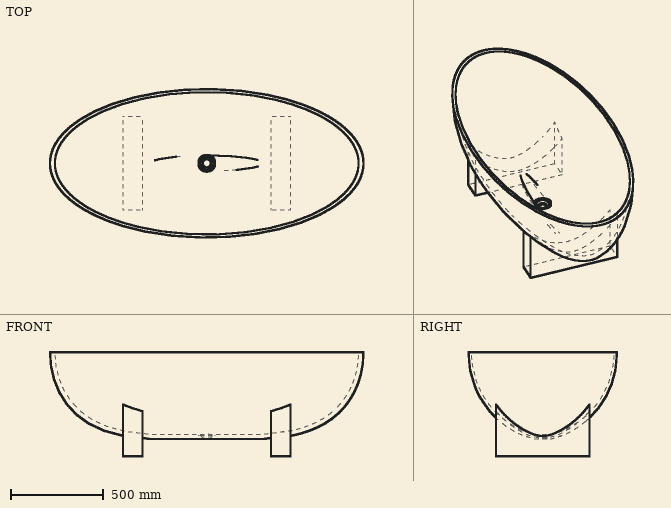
import cadquery as cq
import math

length = 1689.0
width = 800.0
height = 560.0
tub_depth = 468.0

apex_depth = 473.0
length_depth_exponent = 2.0
length_size_exponent = 3.8
width_depth_exponent = 2.1
width_size_exponent = 1.7
level_count = 10

end_wall = 27.0
side_wall = 17.0
floor_thickness = 25.0

drain_diameter = 44.0
countersink_diameter = 71.0
countersink_depth = 10.0
recess_diameter = 91.0
recess_depth = 5.0

foot_thickness = 106.0
foot_width = 503.0
foot_outer_x = 451.0
foot_top = 338.0


def profile_scale(depth_ratio, depth_exponent, size_exponent):
    """Half-size of a superellipse profile relative to its size at the rim."""
    return (1 - depth_ratio**depth_exponent) ** (1 / size_exponent)


def bowl(half_length, half_width, flat_depth, full_depth):
    """Solid lofted through elliptical levels from the rim to the flat bottom."""
    last_angle = math.asin(flat_depth / full_depth)
    levels = []
    for index in range(level_count):
        depth_ratio = math.sin(last_angle * index / (level_count - 1))
        length_scale = profile_scale(depth_ratio, length_depth_exponent, length_size_exponent)
        width_scale = profile_scale(depth_ratio, width_depth_exponent, width_size_exponent)
        level = cq.Wire.makeEllipse(
            half_length * length_scale,
            half_width * width_scale,
            cq.Vector(0, 0, height - full_depth * depth_ratio),
            cq.Vector(0, 0, 1),
            cq.Vector(1, 0, 0),
        )
        levels.append(level)
    return cq.Workplane(obj=cq.Solid.makeLoft(levels))


outer = bowl(length / 2, width / 2, tub_depth, apex_depth)
cavity = bowl(
    length / 2 - end_wall,
    width / 2 - side_wall,
    tub_depth - floor_thickness,
    apex_depth - floor_thickness,
)

foot_center_x = foot_outer_x - foot_thickness / 2
feet = (
    cq.Workplane("XY")
    .pushPoints([(-foot_center_x, 0), (foot_center_x, 0)])
    .rect(foot_thickness, foot_width)
    .extrude(foot_top)
)

floor_z = height - tub_depth + floor_thickness
recess_z = floor_z - recess_depth
drain = cq.Workplane("XY").circle(drain_diameter / 2).extrude(height)
countersink = cq.Workplane(
    obj=cq.Solid.makeCone(
        drain_diameter / 2,
        countersink_diameter / 2,
        countersink_depth,
        cq.Vector(0, 0, recess_z - countersink_depth),
    )
)
recess = (
    cq.Workplane("XY")
    .workplane(offset=recess_z)
    .circle(recess_diameter / 2)
    .extrude(height - recess_z)
)

result = outer.union(feet).cut(cavity).cut(drain).cut(countersink).cut(recess)